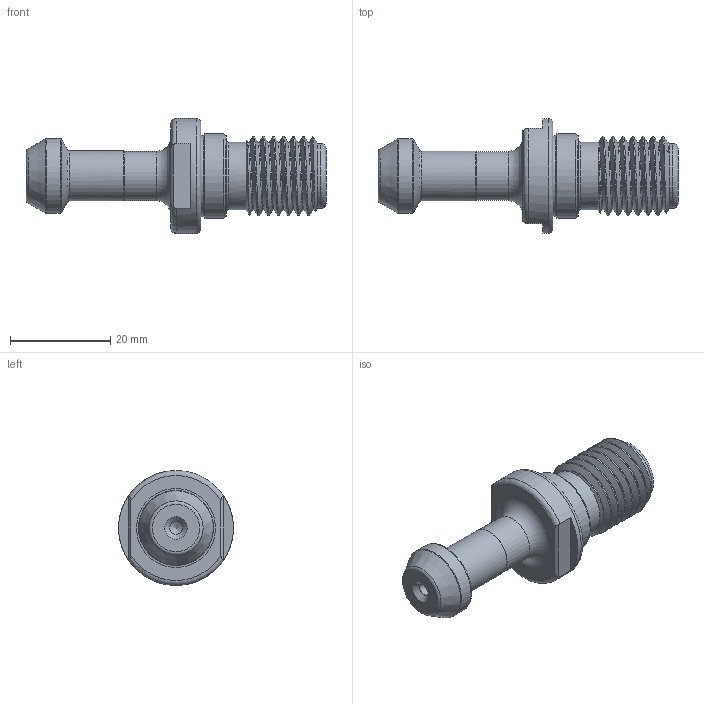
import cadquery as cq
import math


head_radius = 7.5
head_front_x = 4.0
head_back_x = 7.0
front_cone_angle = 30.0
back_cone_angle = 60.0
nose_fillet = 0.8
head_fillet = 0.3

shank_radius = 5.0
shank_step_x = 19.5
shank_step = 0.1
shank_fillet = 3.0
flange_radius = 11.5
flange_front_x = 29.0
flange_back_x = 35.0
flange_fillet = 1.0

flat_half_width = 9.5
flat_end_x = 33.0
flat_chamfer = 0.5

groove_radius = 8.1
groove_end_x = 35.8
groove_fillet = 0.38
collar_radius = 8.5
collar_end_x = 39.55
collar_step_radius = 8.05
collar_step_end_x = 40.0
collar_fillet = 0.4
neck_fillet = 0.5

thread_radius = 8.0
thread_pitch = 2.0
thread_start_x = 44.0
thread_end_x = 58.25
thread_end_angle = 60.0
thread_half_angle = 30.0
crest_flat = thread_pitch / 8
crest_offset = 1.0
root_overlap = 0.1
thread_zone_radius = thread_radius + 0.5
core_radius = 6.75
end_radius = 6.5
end_fillet = 1.0
total_length = 60.0

centre_hole_radius = 1.25
centre_hole_depth = 4.0
countersink_radius = 2.3
countersink_angle = 90.0
drill_tip_angle = 120.0


def tan_deg(angle):
    return math.tan(math.radians(angle))


nose_radius = head_radius - head_front_x * tan_deg(front_cone_angle)
rear_shank_radius = shank_radius - shank_step
back_cone_end_x = head_back_x + (head_radius - shank_radius) / tan_deg(back_cone_angle)


def revolve_outline(points):
    """Revolve a closed (x, radius) outline about the X axis."""
    return cq.Workplane("XZ").polyline(points).close().revolve(360, (0, 0, 0), (1, 0, 0))


def fillet_rim(body, x, radius, size):
    """Round the circular edge of the given radius centred on the axis at x."""
    tolerance = 0.01

    def is_rim(edge):
        if edge.geomType() != "CIRCLE":
            return False
        return abs(edge.radius() - radius) < tolerance and abs(edge.arcCenter().x - x) < tolerance

    rims = [edge for edge in body.edges().vals() if is_rim(edge)]
    return body.newObject(rims).fillet(size)


def turned_body():
    """Body of revolution without the thread, with its rims rounded."""
    body = revolve_outline([
        (0, 0),
        (0, nose_radius),
        (head_front_x, head_radius),
        (head_back_x, head_radius),
        (back_cone_end_x, shank_radius),
        (shank_step_x, shank_radius),
        (shank_step_x + shank_step, rear_shank_radius),
        (flange_front_x, rear_shank_radius),
        (flange_front_x, flange_radius),
        (flange_back_x, flange_radius),
        (flange_back_x, groove_radius),
        (groove_end_x, groove_radius),
        (groove_end_x, collar_radius),
        (collar_end_x, collar_radius),
        (collar_end_x, collar_step_radius),
        (collar_step_end_x, collar_step_radius),
        (collar_step_end_x, core_radius),
        (thread_end_x, core_radius),
        (thread_end_x, end_radius),
        (total_length, end_radius),
        (total_length, 0),
    ])
    rims = [
        (0, nose_radius, nose_fillet),
        (head_front_x, head_radius, head_fillet),
        (head_back_x, head_radius, head_fillet),
        (back_cone_end_x, shank_radius, head_fillet),
        (flange_front_x, rear_shank_radius, shank_fillet),
        (flange_front_x, flange_radius, flange_fillet),
        (flange_back_x, flange_radius, flange_fillet),
        (groove_end_x, groove_radius, groove_fillet),
        (collar_end_x, collar_step_radius, collar_fillet),
        (collar_step_end_x, core_radius, neck_fillet),
        (total_length, end_radius, end_fillet),
    ]
    for x, radius, size in rims:
        body = fillet_rim(body, x, radius, size)
    return body


def wrench_flat_cutter():
    """Material removed at +Y: a flat parallel to the axis with a chamfered front edge."""
    return (
        cq.Workplane("XY")
        .moveTo(flange_front_x, flat_half_width - flat_chamfer)
        .lineTo(flange_front_x + flat_chamfer, flat_half_width)
        .lineTo(flat_end_x, flat_half_width)
        .lineTo(flat_end_x, flange_radius)
        .lineTo(flange_front_x, flange_radius)
        .close()
        .extrude(flange_radius, both=True)
    )


def centre_hole():
    """Countersunk pilot hole with a conical drill tip."""
    countersink_depth = (countersink_radius - centre_hole_radius) / tan_deg(countersink_angle / 2)
    tip_depth = centre_hole_radius / tan_deg(drill_tip_angle / 2)
    return revolve_outline([
        (0, 0),
        (0, countersink_radius),
        (countersink_depth, centre_hole_radius),
        (centre_hole_depth, centre_hole_radius),
        (centre_hole_depth + tip_depth, 0),
    ])


def thread_end_trimmer():
    """Ring outside the cone that ends the thread at the rear."""
    cone_length = (thread_zone_radius - end_radius) / tan_deg(thread_end_angle)
    return revolve_outline([
        (thread_end_x, end_radius),
        (thread_end_x, thread_zone_radius),
        (thread_end_x - cone_length, thread_zone_radius),
    ])


def thread_ridge():
    """Right-handed helical ridge, trimmed by a cone where the thread starts."""
    root_radius = core_radius - root_overlap
    crest_half = crest_flat / 2
    root_half = crest_half + (thread_radius - root_radius) * tan_deg(thread_half_angle)

    ridge_start = thread_start_x + crest_offset - thread_pitch
    ridge_length = thread_end_x - ridge_start + thread_pitch

    path = cq.Wire.makeHelix(thread_pitch, ridge_length, root_radius)
    ridge = (
        cq.Workplane("XZ")
        .moveTo(root_radius, -root_half)
        .lineTo(thread_radius, -crest_half)
        .lineTo(thread_radius, crest_half)
        .lineTo(root_radius, root_half)
        .close()
        .sweep(cq.Workplane(obj=path), isFrenet=True)
        .rotate((0, 0, 0), (1, 1, 1), 120)
        .translate((ridge_start, 0, 0))
    )
    start_cone_length = (thread_zone_radius - core_radius) / tan_deg(thread_end_angle)
    thread_zone = revolve_outline([
        (thread_start_x, 0),
        (thread_start_x, core_radius),
        (thread_start_x + start_cone_length, thread_zone_radius),
        (thread_end_x, thread_zone_radius),
        (thread_end_x, 0),
    ])
    return ridge.intersect(thread_zone)


flat_cutter = wrench_flat_cutter()
body = turned_body().cut(flat_cutter).cut(flat_cutter.mirror("XZ")).cut(centre_hole())
result = body.union(thread_ridge()).cut(thread_end_trimmer())